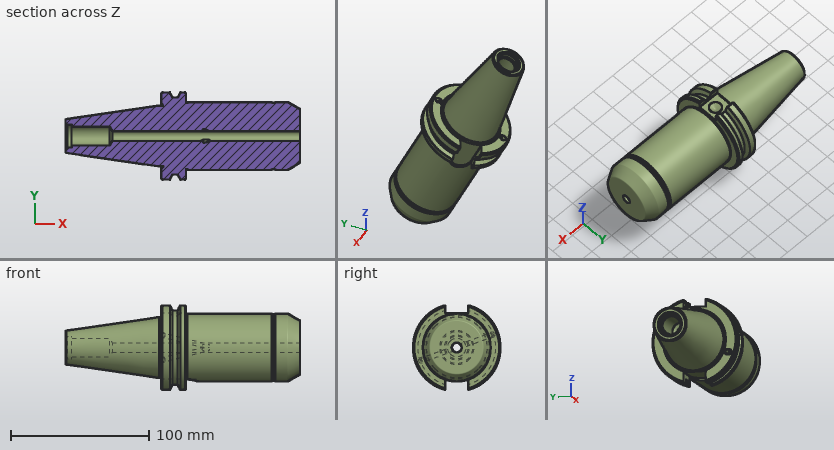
import cadquery as cq
import math


taper_length = 68.25
nose_length = 101.6
nose_end = nose_length
tail_end = -taper_length

taper_ratio = 7 / 24
gauge_diameter = 44.45
tail_diameter = gauge_diameter - taper_length * taper_ratio
tail_chamfer_length = 0.75
tail_chamfer_height = 0.75
relief_diameter = 43.8
relief_start = -0.4
relief_lead_in = 0.5

flange_diameter = 63.5
flange_front = 1.05
flange_back = 19.15
flange_chamfer = 1.0
face_recess_diameter = 47.0
face_recess_depth = 1.5
vee_center = 11.1
vee_root_diameter = 56.3
vee_root_width = 3.75
vee_half_angle = 28

body_diameter = 49.25
neck_diameter = 48.25
neck_length = 0.9
ring_groove_diameter = 48.25
ring_groove_start = 80.7
ring_groove_end = 83.6
ring_groove_lead_in = 1.0
ring_groove_lead_out = 0.5
nose_cone_start = 92.7
nose_face_diameter = 39.0
nose_rounding = 1.0

keyway_width = 16.5
keyway_bevel = 0.415
upper_floor_height = 25.0
lower_floor_height = 22.6
keyway_end_center = 19.4
dimple_diameter = 9.53
dimple_point_angle = 118

mouth_diameter = 18.0
counterbore_diameter = 16.3
thread_core_diameter = 13.39
through_diameter = 6.92
mouth_cone_depth = 1.5
counterbore_depth = 4.5
thread_core_depth = 32.0
drill_point_angle = 118

channel_mouth_diameter = 4.0
channel_mouth_depth = 2.2
channel_diameter = 3.24
channel_pitch_radius = 26.9
channel_tilt = 36
channel_clocking = 20


def cone_depth(large_diameter, small_diameter, point_angle):
    return (large_diameter - small_diameter) / 2 / math.tan(math.radians(point_angle / 2))


def revolve_profile(points):
    """Revolve a closed outline of (axial position, radius) points about the X axis."""
    outline = cq.Workplane("XY").polyline(points).close()
    return outline.revolve(360, (0, 0, 0), (1, 0, 0))


def taper_radius(x):
    return gauge_diameter / 2 + x * taper_ratio / 2


def holder_blank():
    chamfer_end = tail_end + tail_chamfer_length
    vee_wall = (flange_diameter - vee_root_diameter) / 2 * math.tan(math.radians(vee_half_angle))
    vee_half_root = vee_root_width / 2
    vee_half_mouth = vee_half_root + vee_wall
    flange_radius = flange_diameter / 2
    flange_face_radius = flange_radius - flange_chamfer
    vee_root_radius = vee_root_diameter / 2
    body_radius = body_diameter / 2
    relief_radius = relief_diameter / 2
    neck_radius = neck_diameter / 2
    neck_end = flange_back + neck_length
    groove_radius = ring_groove_diameter / 2
    nose_radius = nose_face_diameter / 2
    return revolve_profile([
        (tail_end, 0),
        (tail_end, tail_diameter / 2 - tail_chamfer_height),
        (chamfer_end, taper_radius(chamfer_end)),
        (relief_start, taper_radius(relief_start)),
        (relief_start + relief_lead_in, relief_radius),
        (flange_front + face_recess_depth, relief_radius),
        (flange_front, face_recess_diameter / 2),
        (flange_front, flange_face_radius),
        (flange_front + flange_chamfer, flange_radius),
        (vee_center - vee_half_mouth, flange_radius),
        (vee_center - vee_half_root, vee_root_radius),
        (vee_center + vee_half_root, vee_root_radius),
        (vee_center + vee_half_mouth, flange_radius),
        (flange_back - flange_chamfer, flange_radius),
        (flange_back, flange_face_radius),
        (flange_back, neck_radius),
        (neck_end, neck_radius),
        (neck_end, body_radius),
        (ring_groove_start, body_radius),
        (ring_groove_start + ring_groove_lead_in, groove_radius),
        (ring_groove_end - ring_groove_lead_out, groove_radius),
        (ring_groove_end, body_radius),
        (nose_cone_start, body_radius),
        (nose_end, nose_radius),
        (nose_end, 0),
    ])


def round_edge_near(part, point, radius):
    return part.edges(cq.selectors.NearestToPointSelector(point)).fillet(radius)


def rounded_blank():
    part = holder_blank()
    part = round_edge_near(part, (nose_cone_start, 0, body_diameter / 2), nose_rounding)
    return round_edge_near(part, (nose_end, 0, nose_face_diameter / 2), nose_rounding)


def axial_bore():
    """Stepped bore entering at the small end of the taper and running through."""
    mouth_end = tail_end + mouth_cone_depth
    counterbore_end = tail_end + counterbore_depth
    core_end = tail_end + thread_core_depth
    point_end = core_end + cone_depth(thread_core_diameter, through_diameter, drill_point_angle)
    return revolve_profile([
        (tail_end, 0),
        (tail_end, mouth_diameter / 2),
        (mouth_end, counterbore_diameter / 2),
        (counterbore_end, counterbore_diameter / 2),
        (counterbore_end, thread_core_diameter / 2),
        (core_end, thread_core_diameter / 2),
        (point_end, through_diameter / 2),
        (nose_end, through_diameter / 2),
        (nose_end, 0),
    ])


def keyway(floor_height, side):
    """Round-ended slot cut radially through the flange; side is +1 for the top, -1 for the bottom."""
    half_width = keyway_width / 2
    flange_radius = flange_diameter / 2
    bevel_half_width = half_width + keyway_bevel
    corner_height = math.sqrt(flange_radius**2 - bevel_half_width**2)
    bevel_start = corner_height - keyway_bevel
    opening_half_width = half_width + flange_radius - bevel_start
    straight = (
        cq.Workplane("YZ", origin=(relief_start, 0, 0))
        .polyline([
            (-half_width, side * floor_height),
            (half_width, side * floor_height),
            (half_width, side * bevel_start),
            (opening_half_width, side * flange_radius),
            (-opening_half_width, side * flange_radius),
            (-half_width, side * bevel_start),
        ])
        .close()
        .extrude(keyway_end_center - relief_start)
    )
    round_end = (
        cq.Workplane("XY", origin=(keyway_end_center, 0, side * floor_height))
        .circle(half_width)
        .extrude(side * (flange_radius - floor_height))
    )
    return straight.union(round_end)


def floor_dimple():
    """Conical drill spot in the floor of the upper keyway."""
    depth = cone_depth(dimple_diameter, 0, dimple_point_angle)
    cone = cq.Solid.makeCone(
        dimple_diameter / 2, 0, depth, cq.Vector(vee_center, 0, upper_floor_height), cq.Vector(0, 0, -1)
    )
    return cq.Workplane(cone)


def coolant_channel(clocking):
    """Stepped channel sloping from the flange face in to the axis."""
    tilt = math.radians(channel_tilt)
    direction = cq.Vector(math.cos(tilt), -math.sin(tilt), 0)
    mouth = cq.Vector(flange_front, channel_pitch_radius, 0)
    overrun = channel_mouth_diameter
    start = mouth - direction * overrun
    reach = channel_pitch_radius / math.sin(tilt)
    wide = cq.Solid.makeCylinder(
        channel_mouth_diameter / 2, overrun + channel_mouth_depth, start, direction
    )
    narrow = cq.Solid.makeCylinder(channel_diameter / 2, reach, mouth, direction)
    channel = cq.Workplane(wide).union(cq.Workplane(narrow))
    return channel.rotate((0, 0, 0), (1, 0, 0), clocking)


result = rounded_blank().cut(axial_bore())
result = result.cut(keyway(upper_floor_height, 1))
result = result.cut(keyway(lower_floor_height, -1))
result = result.cut(floor_dimple())
for half_turn in (0, 180):
    result = result.cut(coolant_channel(channel_clocking + half_turn))